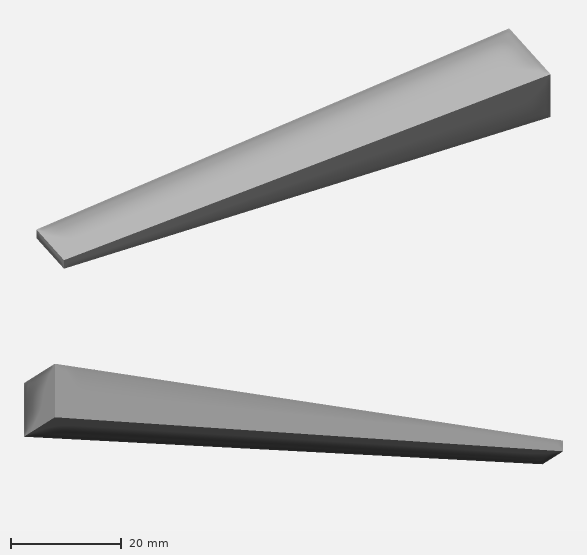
import cadquery as cq

length = 100.0
butt_width = 15.0
butt_height = 10.0
tip_width = 10.0
tip_height = 2.0

result = (
    cq.Workplane("XZ", origin=(0, -length / 2, 0))
    .rect(tip_width, tip_height)
    .workplane(offset=-length)
    .rect(butt_width, butt_height)
    .loft(ruled=True, combine=True)
)